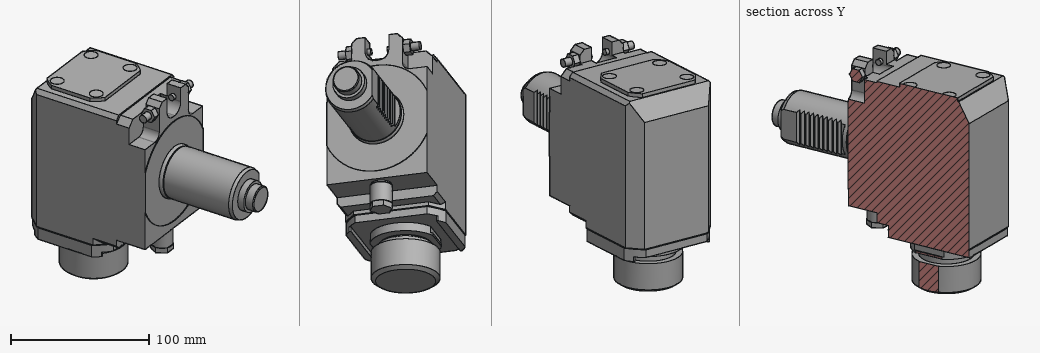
import cadquery as cq
import math


half_width = 38.0
left_x = -35.1
main_right_x = 44.8
shank_face_x = 69.5
main_top_z = 55.6
main_bottom_z = -55.5
shoulder_top_z = 54.5
shoulder_bottom_z = -47.7
top_chamfer_width, top_chamfer_drop = 2.9, 3.5
shoulder_chamfer = 5.0
bottom_chamfer = 2.9
bevel_length, bevel_width = 10.6, 9.5
nose_bevel_length, nose_bevel_drop = 9.0, 15.1

foot_half_length = -left_x
foot_bottom_z = -58.3
seam_height, seam_inset = 0.5, 0.4
flange_corner_radius = 44.5
flange_bottom_z = -64.8
rail_bottom_z = -68.4
rail_half_length = 29.0
rail_inner_y = 32.4

ring_radius = 26.1
ring_bottom_z = -71.3
ring_lip_height = 1.8
ring_flat_y = 22.9
lip_flat_y = 24.0
neck_radius, neck_bottom_z = 18.9, -72.7
collar_radius, collar_bottom_z = 20.2, -77.2
nut_radius, nut_bottom_z = 25.0, -99.9
nut_chamfer_width, nut_chamfer_height = 3.2, 2.3

cover_half_x, cover_half_y = 25.2, 30.0
cover_corner_radius = 34.4
cover_thickness = 2.9
cover_screw_x, cover_screw_y = 17.0, 22.3
cover_screw_radius = 5.0
cover_screw_height = 0.09

notch_x = 55.6
notch_floor_z = 35.8
notch_fillet = 6.0
post_x = 57.8
post_top_z = 64.8
post_inner_y, post_outer_y = 9.0, 19.3
post_chamfer = 3.8
trough_x = 51.8
trough_radius = 8.0
trough_bottom_z = 45.5
screw_x, screw_z = 63.0, 55.8
screw_radius, screw_end_y = 3.0, 30.8
screw_tip_radius, screw_tip_y = 2.3, 6.3
screw_nut_flats, screw_nut_height = 10.0, 5.0

face_pad_radius, face_pad_thickness = 41.5, 0.5
seal_base_radius = 20.5
seal_crest_x, seal_crest_radius = 71.5, 20.7
seal_end = 72.9
relief_radius, relief_end = 19.6, 73.6
shank_radius, shank_end = 20.0, 132.7
shank_chamfer_length, shank_chamfer_depth = 2.7, 0.9
pilot_radius, pilot_end = 12.0, 137.9
tang_radius, tang_end = 9.9, 144.9
tang_chamfer = 0.7
rack_start_x, rack_flat_y = 77.0, 16.2
tooth_count, tooth_pitch, tooth_depth = 10, 4.0, 1.6
first_tooth_x = 81.7

plug_x = 59.2
plug_stub_radius, plug_stub_end = 7.4, -49.1
plug_body_radius, plug_body_end = 8.1, -63.5
plug_hex_flats, plug_hex_end = 14.5, -67.9


def block(x_range, y_range, z_range):
    """Axis-aligned block between the given limits."""
    (x0, x1), (y0, y1), (z0, z1) = x_range, y_range, z_range
    return cq.Workplane("XY").box(x1 - x0, y1 - y0, z1 - z0, centered=False).translate((x0, y0, z0))


def disc(radius, z_top, z_bottom):
    """Cylinder on the Z axis."""
    return cq.Workplane("XY").workplane(offset=z_bottom).circle(radius).extrude(z_top - z_bottom)


def x_prism(points, x0, x1):
    """Extrude a (y, z) polygon along X."""
    return cq.Workplane("YZ").workplane(offset=x0).polyline(points).close().extrude(x1 - x0)


def z_prism(points, z0, z1):
    """Extrude an (x, y) polygon along Z."""
    return cq.Workplane("XY").workplane(offset=z0).polyline(points).close().extrude(z1 - z0)


def hex_prism(across_flats, corner_angle, height):
    """Hexagonal prism rising from the XY plane, with a corner at the given angle."""
    corner_diameter = across_flats / math.cos(math.pi / 6)
    prism = cq.Workplane("XY").polygon(6, corner_diameter).extrude(height)
    return prism.rotate((0, 0, 0), (0, 0, 1), corner_angle)


def mirrored_in_y(shape):
    return shape.union(shape.mirror("XZ"))


def main_housing():
    left_bevel_x = left_x + bevel_length
    bevel_y = half_width - bevel_width
    plan = [
        (left_x, -bevel_y),
        (left_bevel_x, -half_width),
        (main_right_x, -half_width),
        (main_right_x, half_width),
        (left_bevel_x, half_width),
        (left_x, bevel_y),
    ]
    chamfered_y = half_width - top_chamfer_width
    bottom_y = half_width - bottom_chamfer
    section = [
        (-bottom_y, main_bottom_z),
        (bottom_y, main_bottom_z),
        (half_width, main_bottom_z + bottom_chamfer),
        (half_width, main_top_z - top_chamfer_drop),
        (chamfered_y, main_top_z),
        (-chamfered_y, main_top_z),
        (-half_width, main_top_z - top_chamfer_drop),
        (-half_width, main_bottom_z + bottom_chamfer),
    ]
    housing = z_prism(plan, main_bottom_z, main_top_z)
    housing = housing.intersect(x_prism(section, left_x, main_right_x))
    nose_bevel = (
        cq.Workplane("XZ", origin=(0, half_width, 0))
        .moveTo(left_x, main_top_z - nose_bevel_drop)
        .lineTo(left_x + nose_bevel_length, main_top_z)
        .lineTo(left_x, main_top_z)
        .close()
        .extrude(2 * half_width)
    )
    return housing.cut(nose_bevel)


def spindle_foot():
    """Bevelled foot that fills the housing down to the flange."""
    foot = block(
        (-foot_half_length, foot_half_length),
        (-half_width, half_width),
        (foot_bottom_z, main_bottom_z + bottom_chamfer),
    )
    straight_x = foot_half_length - bevel_length
    bevel_y = half_width - bevel_width
    octagon = [
        (straight_x, half_width),
        (foot_half_length, bevel_y),
        (foot_half_length, -bevel_y),
        (straight_x, -half_width),
        (-straight_x, -half_width),
        (-foot_half_length, -bevel_y),
        (-foot_half_length, bevel_y),
        (-straight_x, half_width),
    ]
    return foot.intersect(z_prism(octagon, foot_bottom_z, main_bottom_z + bottom_chamfer))


def shoulder():
    """Shank-side block with corner notches and a rounded trough in its top."""
    chamfered_y = half_width - shoulder_chamfer
    chamfer_z = shoulder_top_z - shoulder_chamfer
    section = [
        (-half_width, shoulder_bottom_z),
        (half_width, shoulder_bottom_z),
        (half_width, chamfer_z),
        (chamfered_y, shoulder_top_z),
        (-chamfered_y, shoulder_top_z),
        (-half_width, chamfer_z),
    ]
    body = x_prism(section, main_right_x, shank_face_x)
    post = x_prism(
        [
            (post_inner_y, trough_bottom_z),
            (post_outer_y, trough_bottom_z),
            (post_outer_y, post_top_z - post_chamfer),
            (post_outer_y - post_chamfer, post_top_z),
            (post_inner_y, post_top_z),
        ],
        post_x,
        shank_face_x,
    )
    notch = (
        block((notch_x, shank_face_x), (post_outer_y, half_width), (notch_floor_z, shoulder_top_z))
        .edges("|X and <Y and <Z")
        .fillet(notch_fillet)
    )
    trough = (
        block((trough_x, shank_face_x), (-post_inner_y, post_inner_y), (trough_bottom_z, post_top_z))
        .edges("|X and <Z")
        .fillet(trough_radius)
    )
    return body.cut(mirrored_in_y(notch)).union(mirrored_in_y(post)).cut(trough)


def adjusting_screws():
    """Screw through each post, with a hexagon nut against its outer side."""
    shaft = disc(screw_radius, screw_end_y, post_inner_y)
    tip = disc(screw_tip_radius, post_outer_y, screw_tip_y)
    nut = hex_prism(screw_nut_flats, 0, screw_nut_height).translate((0, 0, post_outer_y))
    screw = shaft.union(tip).union(nut)
    screw = screw.rotate((0, 0, 0), (1, 0, 0), -90).translate((screw_x, 0, screw_z))
    return mirrored_in_y(screw)


def cover_plate():
    plate = block(
        (-cover_half_x, cover_half_x),
        (-cover_half_y, cover_half_y),
        (main_top_z, main_top_z + cover_thickness),
    )
    plate = plate.intersect(disc(cover_corner_radius, main_top_z + cover_thickness, main_top_z))
    screw_heads = (
        cq.Workplane("XY")
        .workplane(offset=main_top_z)
        .rarray(2 * cover_screw_x, 2 * cover_screw_y, 2, 2)
        .circle(cover_screw_radius)
        .extrude(cover_thickness + cover_screw_height)
    )
    return plate.union(screw_heads)


def flange():
    """Round-cornered flange under the foot, with a rail along each side."""
    flange_top_z = foot_bottom_z - seam_height
    full_y = (-half_width, half_width)
    plate = block((-foot_half_length, foot_half_length), full_y, (flange_bottom_z, flange_top_z))
    rail = block(
        (-rail_half_length, rail_half_length),
        (rail_inner_y, half_width),
        (rail_bottom_z, flange_top_z),
    )
    corners = disc(flange_corner_radius, flange_top_z, rail_bottom_z)
    lower = plate.union(mirrored_in_y(rail)).intersect(corners)
    seam_x = foot_half_length - seam_inset
    seam_y = half_width - seam_inset
    seam = block((-seam_x, seam_x), (-seam_y, seam_y), (flange_top_z, foot_bottom_z))
    seam = seam.intersect(disc(flange_corner_radius - seam_inset, foot_bottom_z, flange_top_z))
    return lower.union(seam)


def spindle():
    lip_top_z = ring_bottom_z + ring_lip_height
    ring_x = (-ring_radius, ring_radius)
    ring_flats = block(ring_x, (-ring_flat_y, ring_flat_y), (lip_top_z, flange_bottom_z))
    lip_flats = block(ring_x, (-lip_flat_y, lip_flat_y), (ring_bottom_z, lip_top_z))
    ring = disc(ring_radius, flange_bottom_z, ring_bottom_z).intersect(ring_flats.union(lip_flats))
    neck = disc(neck_radius, ring_bottom_z, neck_bottom_z)
    collar = disc(collar_radius, neck_bottom_z, collar_bottom_z)
    nut = disc(nut_radius, collar_bottom_z, nut_bottom_z)
    nut = nut.faces("<Z").chamfer(nut_chamfer_height, nut_chamfer_width)
    return ring.union(neck).union(collar).union(nut)


def shank():
    pad_end = shank_face_x + face_pad_thickness
    pad = cq.Workplane("YZ", origin=(shank_face_x, 0, 0)).circle(face_pad_radius).extrude(face_pad_thickness)
    pad = pad.intersect(
        block(
            (shank_face_x, pad_end),
            (-half_width, half_width),
            (-face_pad_radius, face_pad_radius),
        )
    )
    stepped_points = [
        (relief_end, relief_radius),
        (relief_end, shank_radius),
        (shank_end - shank_chamfer_length, shank_radius),
        (shank_end, shank_radius - shank_chamfer_depth),
        (shank_end, pilot_radius),
        (pilot_end, pilot_radius),
        (pilot_end, tang_radius),
        (tang_end - tang_chamfer, tang_radius),
        (tang_end, tang_radius - tang_chamfer),
        (tang_end, 0),
    ]
    profile = (
        cq.Workplane("XY")
        .moveTo(shank_face_x, 0)
        .lineTo(shank_face_x, seal_base_radius)
        .lineTo(pad_end, seal_base_radius)
        .threePointArc((seal_crest_x, seal_crest_radius), (seal_end, relief_radius))
        .polyline(stepped_points, includeCurrent=True)
        .close()
    )
    turned = profile.revolve(360, (0, 0, 0), (1, 0, 0))
    rack_cut = block(
        (rack_start_x, shank_end),
        (rack_flat_y, shank_radius),
        (-shank_radius, shank_radius),
    )
    for tooth in range(tooth_count):
        x = first_tooth_x + tooth * tooth_pitch
        groove = [
            (x - tooth_depth, rack_flat_y),
            (x, rack_flat_y - tooth_depth),
            (x + tooth_depth, rack_flat_y),
        ]
        rack_cut = rack_cut.union(z_prism(groove, -shank_radius, shank_radius))
    return pad.union(turned.cut(rack_cut))


def coolant_plug():
    stub = disc(plug_stub_radius, shoulder_bottom_z, plug_stub_end)
    body = disc(plug_body_radius, plug_stub_end, plug_body_end)
    head = hex_prism(plug_hex_flats, 90, plug_body_end - plug_hex_end).translate((0, 0, plug_hex_end))
    return stub.union(body).union(head).translate((plug_x, 0, 0))


result = (
    main_housing()
    .union(spindle_foot())
    .union(shoulder())
    .union(adjusting_screws())
    .union(cover_plate())
    .union(flange())
    .union(spindle())
    .union(shank())
    .union(coolant_plug())
)